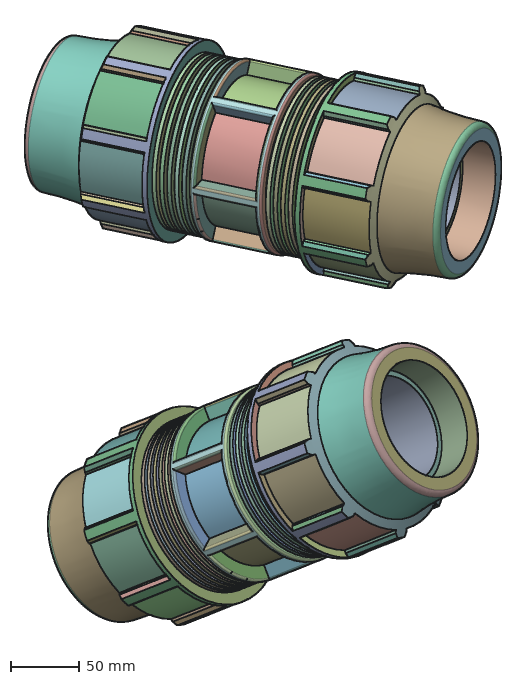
import cadquery as cq

length = 334.0
half_length = length / 2

bore_radius = 81.0 / 2
socket_radius = 90.0 / 2
socket_depth = 26.5

mouth_radius = 59.0
mouth_rounding = 4.5
sleeve_length = 47.0
sleeve_end_radius = 63.5
sleeve_hollow = 1.5
grip_radius = 70.5
flange_radius = 152.0 / 2
shoulder_length = 5.7
flange_start = 103.5
flange_end = 107.5

grip_rib_count = 8
grip_rib_width = 12.0
grip_rib_crest_width = 8.0
grip_rib_bevel_radius = 72.5

thread_root_radius = 121.5 / 2
thread_crest_radius = 134.0 / 2
thread_ring_count = 5
thread_ring_width = 3.5
thread_pitch = 6.0

collar_start = 138.0
collar_width = 5.0
collar_radius = 137.0 / 2
window_floor_radius = 56.8
body_rib_count = 6
body_rib_width = 7.5
edge_rounding = 1.7


def cylinder(start, end, radius):
    """Solid cylinder on the X axis, placed by distance from the left mouth."""
    return cq.Workplane("YZ", origin=(start - half_length, 0, 0)).circle(radius).extrude(end - start)


def around_axis(shape, count, first_angle):
    """Union of equally spaced copies of a shape turned about the X axis."""
    copies = cq.Workplane("YZ")
    for index in range(count):
        angle = first_angle + index * 360 / count
        copies = copies.union(shape.rotate((0, 0, 0), (1, 0, 0), angle))
    return copies


def make_sleeve():
    """Flared sleeve with a slightly hollow flank and a rounded mouth."""
    middle_x = sleeve_length / 2
    middle_radius = (mouth_radius + sleeve_end_radius) / 2 - sleeve_hollow
    sleeve = (
        cq.Workplane("XY", origin=(-half_length, 0, 0))
        .lineTo(0, mouth_radius)
        .threePointArc((middle_x, middle_radius), (sleeve_length, sleeve_end_radius))
        .lineTo(sleeve_length, 0)
        .close()
        .revolve(360, (0, 0, 0), (1, 0, 0))
    )
    return sleeve.faces("<X").edges().fillet(mouth_rounding)


def make_grip():
    """Grip with bevelled ribs and a conical shoulder, closed off by the flange."""
    envelope = (
        cq.Workplane("XY", origin=(-half_length, 0, 0))
        .moveTo(sleeve_length, 0)
        .lineTo(sleeve_length, sleeve_end_radius)
        .lineTo(sleeve_length + shoulder_length, flange_radius)
        .lineTo(flange_end, flange_radius)
        .lineTo(flange_end, 0)
        .close()
        .revolve(360, (0, 0, 0), (1, 0, 0))
    )
    half_width = grip_rib_width / 2
    half_crest = grip_rib_crest_width / 2
    rib = (
        cq.Workplane("YZ", origin=(sleeve_length - half_length, 0, 0))
        .polyline([
            (-half_width, 0),
            (-half_width, grip_rib_bevel_radius),
            (-half_crest, flange_radius),
            (half_crest, flange_radius),
            (half_width, grip_rib_bevel_radius),
            (half_width, 0),
        ])
        .close()
        .extrude(flange_end - sleeve_length)
    )
    ribs = around_axis(rib, grip_rib_count, 180 / grip_rib_count)
    core = cylinder(sleeve_length, flange_end, grip_radius)
    flange = cylinder(flange_start, flange_end, flange_radius)
    return core.union(flange).union(ribs).intersect(envelope)


def make_thread():
    """Plain rings on the thread root, the first one touching the flange."""
    thread = cylinder(flange_end, collar_start, thread_root_radius)
    for index in range(thread_ring_count):
        start = flange_end + index * thread_pitch
        thread = thread.union(cylinder(start, start + thread_ring_width, thread_crest_radius))
    return thread


def make_middle():
    """Collars and lengthwise ribs around sunken windows, rounded along the crest."""
    window_start = collar_start + collar_width
    window_end = length - window_start
    cutter_radius = collar_radius + edge_rounding
    drum = cylinder(collar_start, length - collar_start, collar_radius)
    rib = cq.Workplane("XY").box(
        window_end - window_start,
        cutter_radius,
        body_rib_width,
        centered=(True, False, True),
    )
    windows = (
        cylinder(window_start, window_end, cutter_radius)
        .cut(cylinder(window_start, window_end, window_floor_radius))
        .cut(around_axis(rib, body_rib_count, 0))
    )
    framed = drum.cut(windows)
    reach = window_end - window_start + collar_width
    crest = framed.faces("%CYLINDER").filter(lambda face: face.BoundingBox().xlen > reach)
    return framed.newObject(crest.edges().vals()).fillet(edge_rounding)


half = make_sleeve().union(make_grip()).union(make_thread())
outside = half.union(half.mirror("YZ")).union(make_middle())
socket = cylinder(0, socket_depth, socket_radius)
bore = cylinder(0, length, bore_radius).union(socket).union(socket.mirror("YZ"))
result = outside.cut(bore)